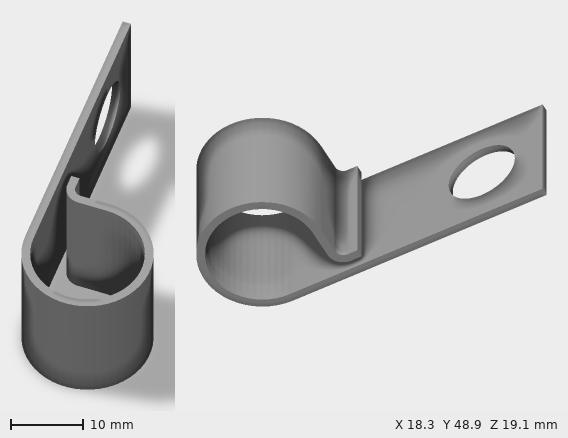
import cadquery as cq
import math

total_length = 48.85
loop_diameter = 18.3
width = 19.05
thickness = 1.2
lip_gap = 1.2
lip_tip_height = 11.95
bend_inner_radius = 1.2
hole_diameter = 10.35
hole_end_distance = 9.5

outer_radius = loop_diameter / 2
inner_radius = outer_radius - thickness
bend_outer_radius = bend_inner_radius + thickness
plate_end = total_length - outer_radius
lip_outer_x = -inner_radius + lip_gap
lip_inner_x = lip_outer_x + thickness
bend_center_x = lip_outer_x + bend_outer_radius
bend_center_y = inner_radius + bend_outer_radius


def bend_midpoint(radius):
    """Point halfway along the quarter bend at the given radius."""
    offset = radius * math.sqrt(0.5)
    return (bend_center_x - offset, bend_center_y - offset)


def make_strip():
    """Flat plate, three-quarter loop and turned-up lip as one bent strip."""
    loop_mid = math.sqrt(0.5)
    profile = (
        cq.Workplane("XY", origin=(0, 0, -width / 2))
        .moveTo(-outer_radius, plate_end)
        .lineTo(-outer_radius, 0)
        .threePointArc((outer_radius * loop_mid, -outer_radius * loop_mid), (0, outer_radius))
        .lineTo(bend_center_x, outer_radius)
        .threePointArc(bend_midpoint(bend_inner_radius), (lip_inner_x, bend_center_y))
        .lineTo(lip_inner_x, lip_tip_height)
        .lineTo(lip_outer_x, lip_tip_height)
        .lineTo(lip_outer_x, bend_center_y)
        .threePointArc(bend_midpoint(bend_outer_radius), (bend_center_x, inner_radius))
        .lineTo(0, inner_radius)
        .threePointArc((inner_radius * loop_mid, -inner_radius * loop_mid), (-inner_radius, 0))
        .lineTo(-inner_radius, plate_end)
        .close()
    )
    return profile.extrude(width)


def make_hole_cutter():
    """Cylinder along X that pierces only the plate."""
    return (
        cq.Workplane("YZ", origin=(-outer_radius, 0, 0))
        .center(plate_end - hole_end_distance, 0)
        .circle(hole_diameter / 2)
        .extrude(thickness)
    )


result = make_strip().cut(make_hole_cutter())